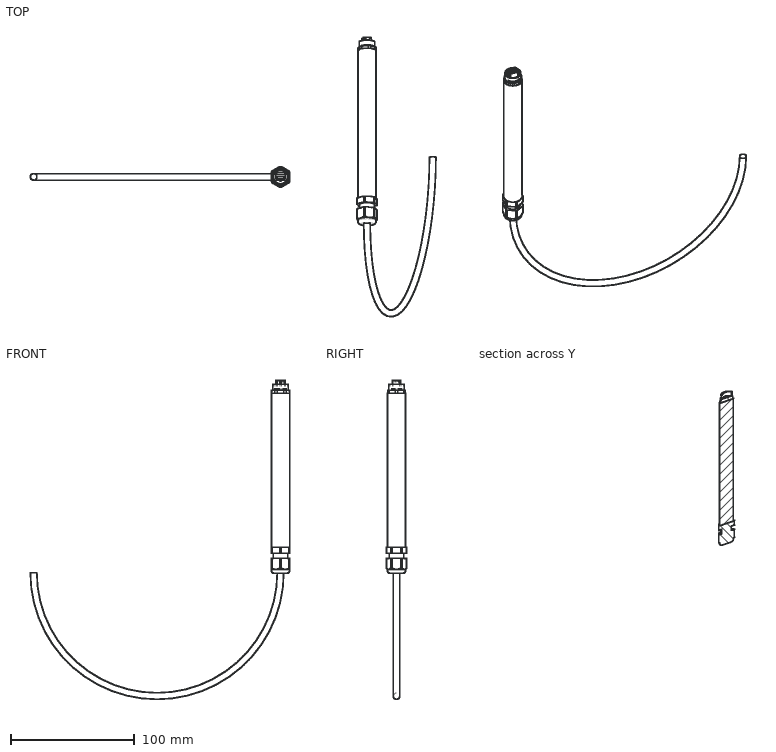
import cadquery as cq
import math

total_height = 258.3
cable_diameter = 5.5
bend_diameter = 200.0
bend_radius = bend_diameter / 2
axis_x = bend_diameter
bend_center_z = bend_radius + cable_diameter / 2

gland_bottom_z = 102.0
gland_flats = 15.0
gland_corners = 16.5
gland_turn = 30
nut_height = 12.1
nut_hex_height = 8.0
nut_round_diameter = 15.0
nut_end_radius = 2.45
neck_diameter = 12.0
neck_height = 4.1
gland_hex_height = 5.0

tube_diameter = 15.0
tube_top_z = 248.0

collar_flats = 14.0
collar_corners = 15.0
collar_turn = 0
collar_height = 2.3
shell_diameter = 13.0
shell_top_z = 255.2
socket_diameter = 11.0
socket_depth = 4.0

insert_diameter = 8.0
insert_back_y = 2.0
groove_width = 0.5
groove_depth = 0.8
insert_front_y = -2.8
key_diameter = 1.2
slot_width = 5.2
slot_back_y = 0.3
slot_front_y = -1.5
slot_depth = 1.3
tab_width = 6.5
tab_back_y = 3.5

nut_top_z = gland_bottom_z + nut_height
neck_top_z = nut_top_z + neck_height
tube_bottom_z = neck_top_z + gland_hex_height
collar_top_z = tube_top_z + collar_height
socket_floor_z = shell_top_z - socket_depth


def disc(diameter, bottom_z, top_z):
    """A cylinder on the housing axis."""
    plane = cq.Workplane("XY", origin=(axis_x, 0, bottom_z))
    return plane.circle(diameter / 2).extrude(top_z - bottom_z)


def hexagon(flats, corners, bottom_z, top_z, turn):
    """A hexagonal prism on the housing axis with its corners rounded to a circle."""
    plane = cq.Workplane("XY", origin=(axis_x, 0, bottom_z)).transformed(rotate=(0, 0, turn))
    prism = plane.polygon(6, flats / math.cos(math.pi / 6)).extrude(top_z - bottom_z)
    return prism.intersect(disc(corners, bottom_z, top_z))


def block(width, front_y, back_y, bottom_z, top_z):
    """A rectangular block centred on the housing axis in X."""
    plane = cq.Workplane("XY", origin=(axis_x, (front_y + back_y) / 2, bottom_z))
    return plane.rect(width, back_y - front_y).extrude(top_z - bottom_z)


def make_cable():
    """A round cable bent into a half circle below the housing."""
    path = (
        cq.Workplane("XZ")
        .moveTo(0, bend_center_z)
        .threePointArc((bend_radius, bend_center_z - bend_radius), (axis_x, bend_center_z))
    )
    profile = cq.Workplane("XY", origin=(0, 0, bend_center_z)).circle(cable_diameter / 2)
    return profile.sweep(path)


def make_gland(cable):
    """The clamping nut, the neck and the upper hexagon, with a recess for the cable's end."""
    hex_bottom_z = nut_top_z - nut_hex_height
    corner_chamfer = (gland_corners - nut_round_diameter) / 2
    chamfer_bottom_z = hex_bottom_z - corner_chamfer
    nut = hexagon(gland_flats, gland_corners, chamfer_bottom_z, nut_top_z, gland_turn)
    chamfered_disc = disc(gland_corners, chamfer_bottom_z, nut_top_z)
    nut = nut.intersect(chamfered_disc.faces("<Z").chamfer(corner_chamfer))
    nut_end = disc(nut_round_diameter, gland_bottom_z, nut_top_z)
    nut_end = nut_end.faces("<Z").edges().fillet(nut_end_radius)
    neck = disc(neck_diameter, nut_top_z, neck_top_z)
    upper_hex = hexagon(gland_flats, gland_corners, neck_top_z, tube_bottom_z, gland_turn)
    return nut.union(nut_end).union(neck).union(upper_hex).cut(cable)


def make_insert():
    """The keyed contact insert: a flattened cylinder with a slot, a key, a groove and a rear tab."""
    insert = disc(insert_diameter, socket_floor_z, total_height).intersect(
        block(insert_diameter, insert_front_y, insert_back_y, socket_floor_z, total_height)
    )
    key = (
        cq.Workplane("XY", origin=(axis_x, insert_front_y, socket_floor_z))
        .circle(key_diameter / 2)
        .extrude(total_height - socket_floor_z)
    )
    tab = block(tab_width, insert_back_y, tab_back_y, socket_floor_z, total_height)
    groove_front_y = insert_back_y - groove_width
    groove = block(insert_diameter, groove_front_y, insert_back_y, total_height - groove_depth, total_height)
    slot = block(slot_width, slot_front_y, slot_back_y, total_height - slot_depth, total_height)
    return insert.union(key).union(tab).cut(slot).cut(groove)


def make_connector():
    """The hexagonal collar and the round shell, with the insert standing in its socket."""
    collar = hexagon(collar_flats, collar_corners, tube_top_z, collar_top_z, collar_turn)
    shell = disc(shell_diameter, collar_top_z, shell_top_z)
    socket = disc(socket_diameter, socket_floor_z, shell_top_z)
    return collar.union(shell).cut(socket).union(make_insert())


cable = make_cable()
gland = make_gland(cable)
tube = disc(tube_diameter, tube_bottom_z, tube_top_z)
connector = make_connector()

result = cq.Compound.makeCompound([cable.val(), gland.val(), tube.val(), connector.val()])